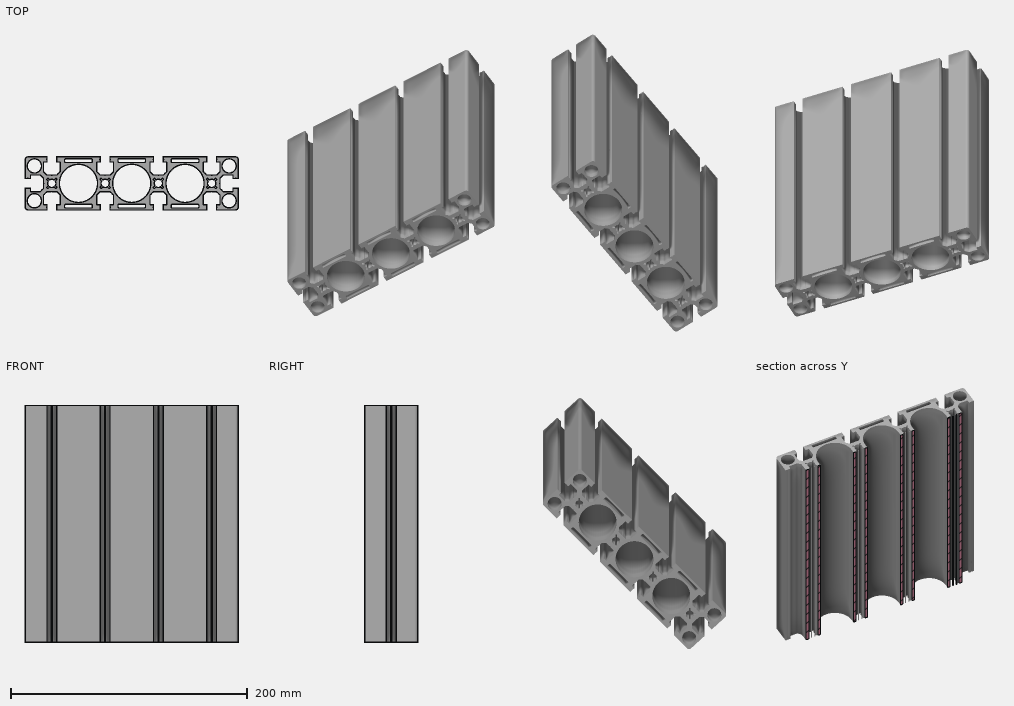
import cadquery as cq

module = 45.0
module_count = 4
length = 200.0
width = module * module_count
half_width = width / 2
half_depth = module / 2
corner_radius = 2.5

slot_opening = 8.1
lip_thickness = 4.6
pocket_width = 14.0
slot_depth = 15.3
pocket_chamfer = 2.7
floor_groove_width = 1.0
floor_groove_depth = 0.35
lip_groove_radius = 0.3
lip_groove_position = 2.3

core_diameter = 6.8
relief_span = 10.9
relief_width = 1.3

bore_diameter = 32.0
corner_hole_diameter = 11.8
corner_hole_inset = 7.8
flat_width = 23.2
flat_height = 3.0
flat_inset = 1.8
flat_corner_radius = 0.8

module_centers = [(i - (module_count - 1) / 2) * module for i in range(module_count)]
bore_centers = [(a + b) / 2 for a, b in zip(module_centers, module_centers[1:])]


def extruded(sketch):
    """Extrude a closed outline over the full length of the profile."""
    return sketch.extrude(length)


def t_slot():
    """T-slot cutter that opens at y = 0 and runs toward -Y, centred on x = 0."""
    half_opening = slot_opening / 2
    half_pocket = pocket_width / 2
    right_side = [
        (half_opening, 0),
        (half_opening, -lip_thickness),
        (half_pocket, -lip_thickness),
        (half_pocket, pocket_chamfer - slot_depth),
        (half_pocket - pocket_chamfer, -slot_depth),
        (floor_groove_width / 2, -slot_depth),
    ]
    groove_tip = [(0, -slot_depth - floor_groove_depth)]
    left_side = [(-x, y) for x, y in reversed(right_side)]
    slot = extruded(cq.Workplane("XY").polyline(right_side + groove_tip + left_side).close())
    groove_centers = [(side * half_opening, -lip_groove_position) for side in (1, -1)]
    grooves = extruded(cq.Workplane("XY").pushPoints(groove_centers).circle(lip_groove_radius))
    return slot.union(grooves)


def cut_long_side_slots(body):
    for x in module_centers:
        back = t_slot().translate((x, half_depth, 0))
        body = body.cut(back).cut(back.mirror("XZ"))
    return body


def cut_end_slots(body):
    right = t_slot().rotate((0, 0, 0), (0, 0, 1), -90).translate((half_width, 0, 0))
    return body.cut(right).cut(right.mirror("YZ"))


def cut_core_holes(body):
    core = extruded(cq.Workplane("XY").circle(core_diameter / 2))
    for angle in (45, -45):
        relief = extruded(cq.Workplane("XY").rect(relief_span, relief_width))
        core = core.union(relief.rotate((0, 0, 0), (0, 0, 1), angle))
    for x in module_centers:
        body = body.cut(core.translate((x, 0, 0)))
    return body


def cut_bores(body):
    centers = [(x, 0) for x in bore_centers]
    return body.cut(extruded(cq.Workplane("XY").pushPoints(centers).circle(bore_diameter / 2)))


def cut_corner_holes(body):
    span_x = width - 2 * corner_hole_inset
    span_y = module - 2 * corner_hole_inset
    corners = cq.Workplane("XY").rect(span_x, span_y, forConstruction=True).vertices()
    return body.cut(extruded(corners.circle(corner_hole_diameter / 2)))


def cut_flat_cavities(body):
    """Thin flat cavities between each bore and the two long faces."""
    y = half_depth - flat_inset - flat_height / 2
    centers = [(x, side * y) for x in bore_centers for side in (1, -1)]
    flats = extruded(cq.Workplane("XY").pushPoints(centers).rect(flat_width, flat_height))
    return body.cut(flats.edges("|Z").fillet(flat_corner_radius))


profile = extruded(cq.Workplane("XY").rect(width, module)).edges("|Z").fillet(corner_radius)
profile = cut_long_side_slots(profile)
profile = cut_end_slots(profile)
profile = cut_core_holes(profile)
profile = cut_bores(profile)
profile = cut_corner_holes(profile)
result = cut_flat_cavities(profile)